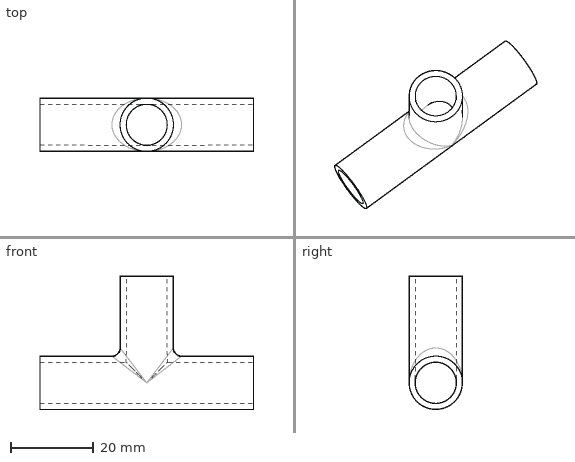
import cadquery as cq

run_length = 52.0
outer_diameter = 13.0
bore_diameter = 10.0
branch_height = 26.0
fillet_radius = 2.0


def half_tee(diameter):
    """The +X half of a solid tee: half the run joined to half the branch."""
    run = cq.Workplane("YZ").circle(diameter / 2).extrude(run_length / 2)
    branch = cq.Workplane("XY").circle(diameter / 2).extrude(branch_height)
    positive_x = cq.Workplane("XY").box(
        run_length, run_length, run_length, centered=(False, True, True)
    )
    return run.union(branch.intersect(positive_x))


def whole_tee(half):
    """Join a half to its mirror image and merge the faces split at X = 0."""
    return half.union(half.mirror("YZ")).clean()


body = whole_tee(half_tee(outer_diameter).edges("%ELLIPSE").fillet(fillet_radius))

bores = whole_tee(half_tee(bore_diameter))

result = body.cut(bores)